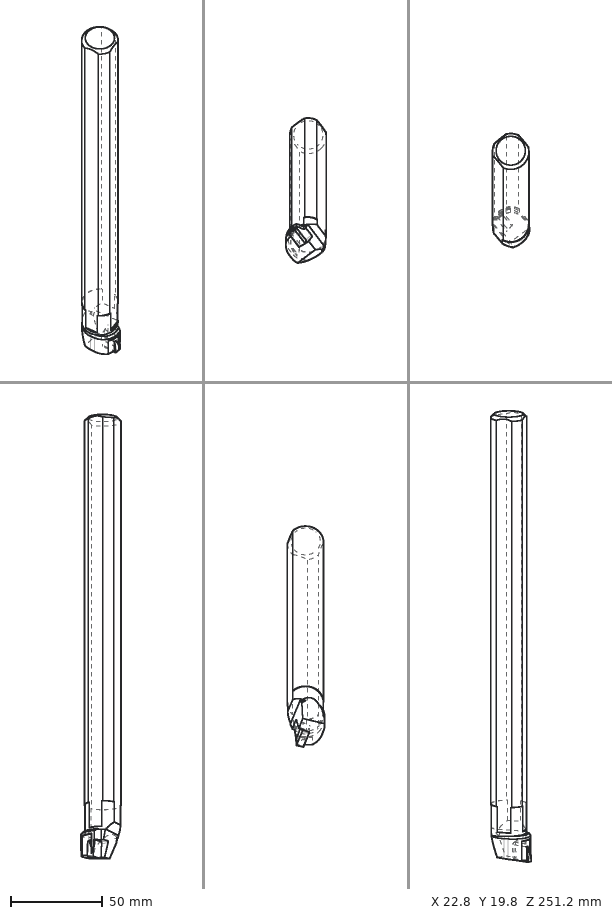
import cadquery as cq
import math

TOTAL_LENGTH = 251.2
TIP_REACH = 12.8

SHANK_RADIUS = 10.0
NECK_RADIUS = 9.8
FLAT_DISTANCE = 9.0
NECK_BOTTOM = 15.8
FLAT_BOTTOM = 17.5
SHANK_BOTTOM = 32.0
END_CHAMFER = 2.0

HEAD_RADIUS = 9.8
HEAD_FRONT = -10.8
HEAD_CENTER_Y = HEAD_FRONT + HEAD_RADIUS
HEAD_ARC_LEFT = 0.38
HEAD_ARC_RIGHT = 2.8
HEAD_CHAMFER = 1.3

BACK_SLOPE_TOP = (-9.0, NECK_BOTTOM)
BACK_SLOPE_BOTTOM = (-3.5, 3.0)
END_RELIEF_HEIGHT = 0.88
END_RELIEF_ANGLE = 7.0
SIDE_RELIEF_LOW = (10.0, -7.3)
SIDE_RELIEF_HIGH = (12.3, -0.8)
SIDE_RELIEF_TOP = 13.0

POCKET_TOP = 21.9
POCKET_BEND_Y = 5.8
POCKET_BOTTOM_Y = 2.39
POCKET_RIM_INNER = (8.3, 3.3)
POCKET_RIM_OUTER = (12.3, 1.0)

INSERT_SIDE = 9.8
INSERT_THICKNESS = 4.0
INSERT_CORNER_RADIUS = 0.8
INSERT_CORNER_ANGLE = 80.0
INSERT_EDGE_LEAD = 5.0
INSERT_CLEARANCE = 7.0
RAKE_FACE_Y = 0.5

MARGIN = 25.0


def round_bar(radius, bottom, top):
    return cq.Workplane("XY").workplane(offset=bottom).circle(radius).extrude(top - bottom)


def clamping_flats():
    """Material outside the flats on the +X, +Y and -Y sides."""
    height = TOTAL_LENGTH - FLAT_BOTTOM
    bar = round_bar(MARGIN, FLAT_BOTTOM, TOTAL_LENGTH)
    kept = (
        cq.Workplane("XY")
        .workplane(offset=FLAT_BOTTOM)
        .center((FLAT_DISTANCE - MARGIN) / 2, 0)
        .rect(FLAT_DISTANCE + MARGIN, 2 * FLAT_DISTANCE)
        .extrude(height)
    )
    return bar.cut(kept)


def shank_and_neck():
    shank = round_bar(SHANK_RADIUS, SHANK_BOTTOM, TOTAL_LENGTH).faces(">Z").chamfer(END_CHAMFER)
    neck = round_bar(NECK_RADIUS, NECK_BOTTOM - HEAD_CHAMFER, SHANK_BOTTOM)
    return shank.union(neck).cut(clamping_flats())


def head_blank():
    back = HEAD_CENTER_Y + HEAD_RADIUS
    return (
        cq.Workplane("XY")
        .moveTo(HEAD_ARC_LEFT, HEAD_FRONT)
        .lineTo(HEAD_ARC_RIGHT, HEAD_FRONT)
        .threePointArc((HEAD_ARC_RIGHT + HEAD_RADIUS, HEAD_CENTER_Y), (HEAD_ARC_RIGHT, back))
        .lineTo(HEAD_ARC_LEFT, back)
        .threePointArc((HEAD_ARC_LEFT - HEAD_RADIUS, HEAD_CENTER_Y), (HEAD_ARC_LEFT, HEAD_FRONT))
        .close()
        .extrude(NECK_BOTTOM)
        .faces(">Z")
        .chamfer(HEAD_CHAMFER)
    )


def extended(start, end, factor):
    """Point on the line from start through end, at the given multiple of their distance."""
    return tuple(a + factor * (b - a) for a, b in zip(start, end))


def back_slope():
    """Wedge that bevels the -X side of the head."""
    high = extended(BACK_SLOPE_BOTTOM, BACK_SLOPE_TOP, 2)
    low = extended(BACK_SLOPE_TOP, BACK_SLOPE_BOTTOM, 2)
    return (
        cq.Workplane("XZ")
        .polyline([high, low, (-MARGIN, low[1]), (-MARGIN, high[1])])
        .close()
        .extrude(MARGIN, both=True)
    )


def end_relief():
    """Block below the end face, which rises toward -X and -Y from under the insert tip."""
    rise_x = math.tan(math.radians(INSERT_EDGE_LEAD))
    rise_y = math.tan(math.radians(END_RELIEF_ANGLE))
    end_face = cq.Plane(
        origin=(TIP_REACH, 0, END_RELIEF_HEIGHT),
        xDir=(1, 0, -rise_x),
        normal=(rise_x, rise_y, 1),
    )
    return cq.Workplane(end_face).rect(4 * MARGIN, 4 * MARGIN).extrude(-MARGIN)


def side_relief():
    """Facet that clears the head behind the side cutting edge."""
    low = extended(SIDE_RELIEF_HIGH, SIDE_RELIEF_LOW, 2)
    return (
        cq.Workplane("XY")
        .polyline([low, SIDE_RELIEF_HIGH, (MARGIN, SIDE_RELIEF_HIGH[1]), (MARGIN, low[1])])
        .close()
        .extrude(SIDE_RELIEF_TOP)
    )


def chip_pocket():
    """Ramp across the +Y side, with its rim lowered beside the insert."""
    ramp = (
        cq.Workplane("YZ")
        .polyline([
            (POCKET_BOTTOM_Y, 0),
            (POCKET_BEND_Y, NECK_BOTTOM),
            (SHANK_RADIUS, POCKET_TOP),
            (MARGIN, POCKET_TOP),
            (MARGIN, 0),
        ])
        .close()
        .extrude(MARGIN, both=True)
    )
    rim_end = extended(POCKET_RIM_INNER, POCKET_RIM_OUTER, 2)
    rim = (
        cq.Workplane("XY")
        .polyline([POCKET_RIM_INNER, rim_end, (rim_end[0], MARGIN), (POCKET_RIM_INNER[0], MARGIN)])
        .close()
        .extrude(NECK_BOTTOM)
    )
    return ramp.union(rim)


def insert_outline():
    """Rhombus with rounded corners in the rake face, tangent to the end and side of the tool."""
    half_angle = math.radians(INSERT_CORNER_ANGLE / 2)
    lead = math.radians(INSERT_EDGE_LEAD)
    corner_loss = INSERT_CORNER_RADIUS * (1 / math.tan(half_angle) + math.tan(half_angle))
    core_side = INSERT_SIDE - corner_loss
    end_edge = (-core_side * math.cos(lead), core_side * math.sin(lead))
    side_edge = (-core_side * math.sin(lead), core_side * math.cos(lead))
    x = TIP_REACH - INSERT_CORNER_RADIUS
    z = INSERT_CORNER_RADIUS
    return (
        cq.Workplane("XZ", origin=(0, RAKE_FACE_Y, 0))
        .polyline([
            (x, z),
            (x + side_edge[0], z + side_edge[1]),
            (x + side_edge[0] + end_edge[0], z + side_edge[1] + end_edge[1]),
            (x + end_edge[0], z + end_edge[1]),
        ])
        .close()
        .offset2D(INSERT_CORNER_RADIUS, "arc")
    )


def make_insert():
    return insert_outline().extrude(INSERT_THICKNESS, taper=INSERT_CLEARANCE)


def make_holder(insert):
    open_seat = insert_outline().extrude(-MARGIN)
    return (
        shank_and_neck()
        .union(head_blank())
        .cut(back_slope())
        .cut(end_relief())
        .cut(side_relief())
        .cut(chip_pocket())
        .cut(open_seat)
        .cut(insert)
    )


cutting_insert = make_insert()
holder = make_holder(cutting_insert)

result = cq.Compound.makeCompound([holder.solids().val(), cutting_insert.solids().val()])